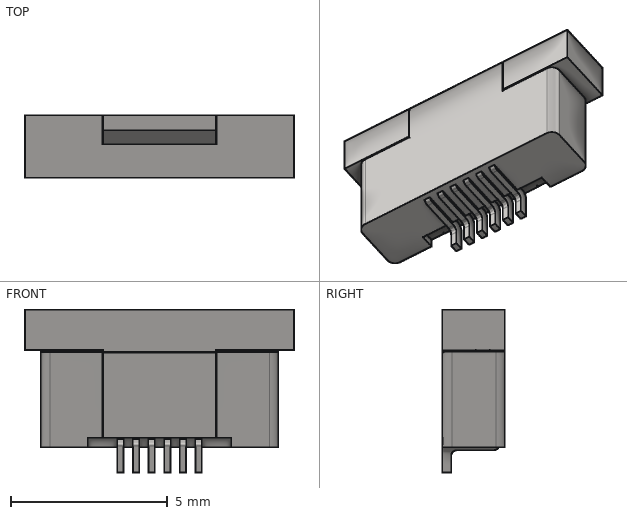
import cadquery as cq

length = 8.6
depth = 2.0
height = 5.2

body_length = 7.59
body_bottom = 0.8
body_top = 3.85
corner_radius = 0.29
body_front = 0.01

cap_height = 1.3
cap_bottom = height - cap_height

opening_length = 3.65
opening_depth = 0.93
tongue_depth = 0.49
clearance = 0.03
tongue_length = opening_length - 2 * clearance

seam_depth = 0.05
panel_top = body_top - clearance

recess_length = 4.58
recess_depth = 0.5
recess_top = 1.11

pin_count = 6
pin_pitch = 0.5
pin_width = 0.21
pin_thickness = 0.29
pin_leg_top = 1.06
pin_leg_bottom = 0.705
outer_bend_radius = 0.21
inner_bend_radius = 0.17
pin_rear = 1.84
rear_bend_radius = 0.21


def block(x_size, y_min, y_max, z_min, z_max):
    """Box centred in X between the given Y and Z limits."""
    return (
        cq.Workplane("XY")
        .box(x_size, y_max - y_min, z_max - z_min, centered=(True, False, False))
        .translate((0, y_min, z_min))
    )


def make_body():
    """Housing with rounded upright corners and a pin recess under the front edge."""
    body = block(body_length, body_front, depth, body_bottom, body_top)
    body = body.edges("|Z").fillet(corner_radius)
    return body.cut(block(recess_length, 0, recess_depth, body_bottom, recess_top))


def make_cap():
    """Cap on a neck, with the cable opening cut down to the top of the neck."""
    cap = block(length, 0, depth, cap_bottom, height)
    neck = block(tongue_length, 0, depth, body_top, cap_bottom)
    opening = block(opening_length, depth - opening_depth, depth, cap_bottom, height)
    tongue = block(tongue_length, depth - tongue_depth, depth, cap_bottom, height)
    return cap.union(neck).cut(opening).union(tongue)


def make_panel(rear):
    """Front panel reaching from the front face back to the given Y."""
    return block(tongue_length, 0, rear, recess_top, panel_top)


def make_seams():
    """Narrow groove up both sides and across the top of the front panel."""
    frame = block(opening_length, 0, seam_depth, recess_top, body_top)
    return frame.cut(make_panel(seam_depth))


def make_pin(x_center):
    """L-shaped pin: a leg running back under the body and a tail bent down at the front."""
    leg = block(pin_width, 0, pin_rear, pin_leg_bottom, pin_leg_top)
    leg = leg.edges("|X and >Y and <Z").fillet(rear_bend_radius)
    tail = block(pin_width, 0, pin_thickness, 0, pin_leg_top)
    pin = leg.union(tail)
    pin = pin.edges("|X and <Y and >Z").fillet(outer_bend_radius)
    inner_corner = cq.selectors.NearestToPointSelector((0, pin_thickness, pin_leg_bottom))
    pin = pin.edges("|X").edges(inner_corner).fillet(inner_bend_radius)
    return pin.translate((x_center, 0, 0))


result = make_body().union(make_panel(seam_depth)).union(make_cap()).cut(make_seams())
first_pin_x = -pin_pitch * (pin_count - 1) / 2
for index in range(pin_count):
    result = result.union(make_pin(first_pin_x + index * pin_pitch))